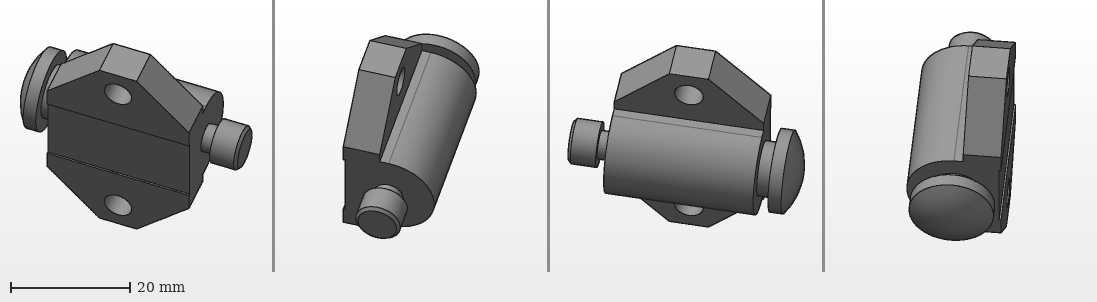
import cadquery as cq

body_length = 25.5
plate_height = 38.1
plate_thickness = 6.35
plate_tip_width = 6.7
plate_side_height = 19.45
hole_diameter = 4.9
hole_spacing = 28.6
recess_height = 12.75
recess_depth = 0.3

total_depth = 15.85
barrel_radius = total_depth / 2
front_y = -barrel_radius

button_radius = 7.1
dome_height = 2.45
rim_length = 2.25
neck_radius = 4.7
neck_length = 2.37

pin_radius = 2.45
pin_length = 2.15
pin_head_radius = 3.88
total_length = 39.55
pin_head_length = (total_length - body_length - pin_length
                   - neck_length - rim_length - dome_height)
pin_head_chamfer = 0.5


def make_plate():
    """Plate with four cut corners and two mounting holes."""
    half_length = body_length / 2
    half_tip = plate_tip_width / 2
    half_side = plate_side_height / 2
    half_height = plate_height / 2
    plane = cq.Workplane("XZ", origin=(0, front_y, 0))
    plate = plane.polyline([
        (-half_length, -half_side),
        (-half_tip, -half_height),
        (half_tip, -half_height),
        (half_length, -half_side),
        (half_length, half_side),
        (half_tip, half_height),
        (-half_tip, half_height),
        (-half_length, half_side),
    ]).close().extrude(-plate_thickness)
    holes = (
        plane.pushPoints([(0, -hole_spacing / 2), (0, hole_spacing / 2)])
        .circle(hole_diameter / 2)
        .extrude(-plate_thickness)
    )
    return plate.cut(holes)


def make_barrel():
    """D-shaped housing running the full length of the plate."""
    return (
        cq.Workplane("YZ", origin=(-body_length / 2, 0, 0))
        .moveTo(front_y, -barrel_radius)
        .lineTo(0, -barrel_radius)
        .threePointArc((barrel_radius, 0), (0, barrel_radius))
        .lineTo(front_y, barrel_radius)
        .close()
        .extrude(body_length)
    )


def make_recess():
    """Shallow full-length channel in the mounting face."""
    return cq.Workplane("XY").box(
        body_length, recess_depth, recess_height, centered=(True, False, True)
    ).translate((0, front_y, 0))


def make_button():
    """Neck, rim and spherical dome, revolved about the X axis."""
    neck_end = -body_length / 2
    rim_back = neck_end - neck_length
    rim_front = rim_back - rim_length
    tip = rim_front - dome_height
    sphere_radius = (button_radius**2 + dome_height**2) / (2 * dome_height)
    mid_radius = button_radius / 2
    mid_x = tip + sphere_radius - (sphere_radius**2 - mid_radius**2) ** 0.5
    return (
        cq.Workplane("XY")
        .moveTo(neck_end, 0)
        .lineTo(neck_end, neck_radius)
        .lineTo(rim_back, neck_radius)
        .lineTo(rim_back, button_radius)
        .lineTo(rim_front, button_radius)
        .threePointArc((mid_x, mid_radius), (tip, 0))
        .close()
        .revolve(360, (0, 0, 0), (1, 0, 0))
    )


def make_pin():
    """Slim shank carrying a larger head with a chamfered end."""
    pin_start = body_length / 2
    shank = cq.Workplane("YZ", origin=(pin_start, 0, 0)).circle(pin_radius).extrude(pin_length)
    head = (
        cq.Workplane("YZ", origin=(pin_start + pin_length, 0, 0))
        .circle(pin_head_radius)
        .extrude(pin_head_length)
        .faces(">X")
        .chamfer(pin_head_chamfer)
    )
    return shank.union(head)


housing = make_plate().union(make_barrel()).cut(make_recess())
result = housing.union(make_button()).union(make_pin())